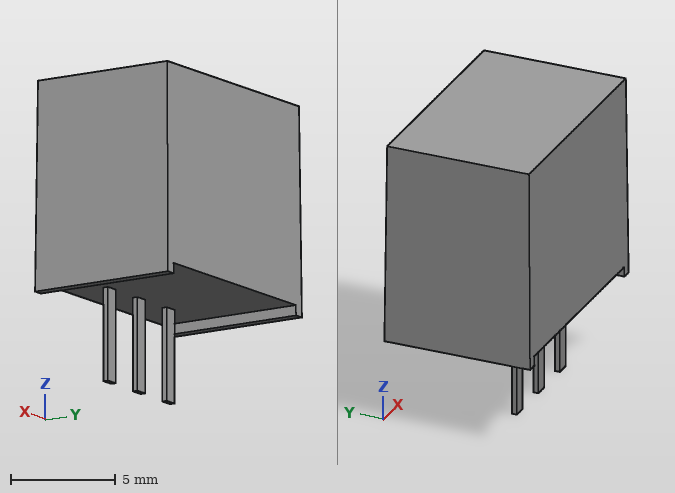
import cadquery as cq

case_length = 11.6
case_width = 7.65
total_height = 14.5
pin_drop = 4.1
case_height = total_height - pin_drop
wall_draft = 0.1

foot_length = 0.52
foot_height = 0.51

pin_count = 3
pin_pitch = 2.54
pin_width = 0.7
pin_thickness = 0.26
pin_row_y = -1.7


def make_case():
    """Tapered block standing on Z = 0."""
    return (
        cq.Workplane("XY")
        .rect(case_length, case_width)
        .workplane(offset=case_height)
        .rect(case_length - 2 * wall_draft, case_width - 2 * wall_draft)
        .loft(ruled=True)
    )


def make_recess():
    """Channel across the full width, between the two feet."""
    recess_length = case_length - 2 * foot_length
    return cq.Workplane("XY").box(
        recess_length, case_width, foot_height, centered=(True, True, False)
    )


def make_pin(x):
    """Flat lead from the recess ceiling down to its tip."""
    return (
        cq.Workplane("XY", origin=(x, pin_row_y, -pin_drop))
        .rect(pin_width, pin_thickness)
        .extrude(pin_drop + foot_height)
    )


result = make_case().cut(make_recess())
for index in range(pin_count):
    pin_x = (index - (pin_count - 1) / 2) * pin_pitch
    result = result.union(make_pin(pin_x))